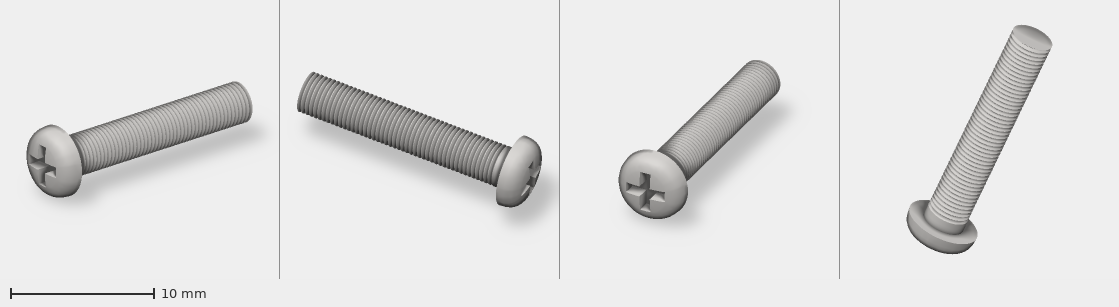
import cadquery as cq
import math

total_length = 17.67
head_diameter = 5.2
head_height = 1.59
shank_diameter = 3.0
shank_length = 0.88

groove_count = 47
groove_depth = 0.25
groove_angle = 60.0

recess_span = 3.05
recess_width = 0.81
recess_depth = 1.06

apex_allowance = 0.01

rim_handle = 1.38
apex_handle = 1.82

head_radius = head_diameter / 2
shank_radius = shank_diameter / 2
root_radius = shank_radius - groove_depth
groove_width = 2 * groove_depth * math.tan(math.radians(groove_angle / 2))

tip_y = total_length / 2
crown_y = -total_length / 2
apex_y = crown_y - apex_allowance
head_base_y = crown_y + head_height
thread_start_y = head_base_y + shank_length
pitch = (tip_y - thread_start_y - groove_width) / (groove_count - 1)


def make_head():
    """Pan head: one smooth curve from the rim to the apex, turned about Y."""
    dome_curve = [
        (head_radius, head_base_y),
        (head_radius, head_base_y - rim_handle),
        (apex_handle, apex_y),
        (0, apex_y),
    ]
    profile = (
        cq.Workplane("XY")
        .moveTo(0, head_base_y)
        .lineTo(head_radius, head_base_y)
        .bezier(dome_curve)
        .close()
    )
    return profile.revolve(360, (0, 0), (0, 1))


def make_shaft():
    """Plain shank followed by the V grooves, turned about Y as one profile."""
    profile = cq.Workplane("XY").moveTo(0, head_base_y).lineTo(shank_radius, head_base_y)
    for index in range(groove_count):
        groove_y = thread_start_y + index * pitch
        profile = (
            profile.lineTo(shank_radius, groove_y)
            .lineTo(root_radius, groove_y + groove_width / 2)
            .lineTo(shank_radius, groove_y + groove_width)
        )
    return profile.lineTo(0, tip_y).close().revolve(360, (0, 0), (0, 1))


def make_cross_recess():
    """Flat-bottomed cross, with its floor recess_depth inside the crown."""
    cutter_depth = recess_depth + apex_allowance
    arm_x = cq.Workplane("XY").box(recess_span, cutter_depth, recess_width)
    arm_z = cq.Workplane("XY").box(recess_width, cutter_depth, recess_span)
    return arm_x.union(arm_z).translate((0, apex_y + cutter_depth / 2, 0))


result = make_head().union(make_shaft()).cut(make_cross_recess())